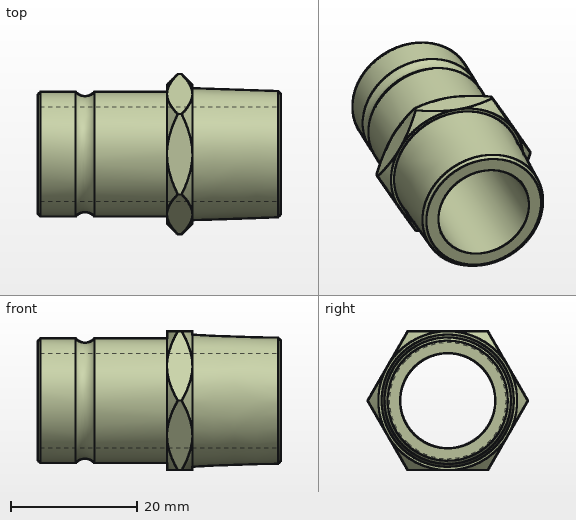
import cadquery as cq
import math

total_length = 38.5
hex_start = 20.5
hex_width = 4.0
hex_end = hex_start + hex_width

bore_diameter = 15.0
spigot_radius = 9.9
taper_base_radius = 10.47
taper_tip_radius = 10.0
hex_sides = 6
across_flats = 22.0

end_chamfer = 0.5

groove_center = 7.5
groove_width = 3.0
groove_depth = 0.7


def revolve_about_axis(profile):
    """Turn a closed half profile, drawn in X and radius, a full turn about X."""
    return profile.revolve(360, (0, 0, 0), (1, 0, 0))


def make_turned_body():
    """Grooved spigot on the -X side and tapered end on the +X side, still without the bore."""
    groove_start = groove_center - groove_width / 2
    groove_end = groove_center + groove_width / 2
    groove_bottom = (groove_center, spigot_radius - groove_depth)
    profile = (
        cq.Workplane("XY")
        .moveTo(0, 0)
        .lineTo(0, spigot_radius - end_chamfer)
        .lineTo(end_chamfer, spigot_radius)
        .lineTo(groove_start, spigot_radius)
        .threePointArc(groove_bottom, (groove_end, spigot_radius))
        .lineTo(hex_end, spigot_radius)
        .lineTo(hex_end, taper_base_radius)
        .lineTo(total_length - end_chamfer, taper_tip_radius)
        .lineTo(total_length, taper_tip_radius - end_chamfer)
        .lineTo(total_length, 0)
        .close()
    )
    return revolve_about_axis(profile)


def make_hex_collar():
    """Hexagon with two corners on Y, its corners turned down at 45 degrees on both faces."""
    corner_diameter = across_flats / math.cos(math.pi / hex_sides)
    hexagon = (
        cq.Workplane("YZ")
        .workplane(offset=hex_start)
        .polygon(hex_sides, corner_diameter)
        .extrude(hex_width)
    )

    face_radius = across_flats / 2
    half_width = hex_width / 2
    cone_profile = (
        cq.Workplane("XY")
        .moveTo(hex_start, 0)
        .lineTo(hex_start, face_radius)
        .lineTo(hex_start + half_width, face_radius + half_width)
        .lineTo(hex_end, face_radius)
        .lineTo(hex_end, 0)
        .close()
    )
    return hexagon.intersect(revolve_about_axis(cone_profile))


def make_bore():
    """Straight bore through the whole length."""
    return cq.Workplane("YZ").circle(bore_diameter / 2).extrude(total_length)


result = make_turned_body().union(make_hex_collar()).cut(make_bore())